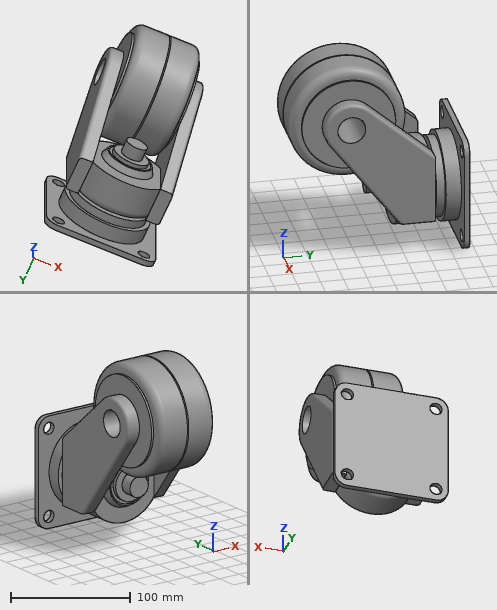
import cadquery as cq
import math


overall_height = 170.0

plate_size = 100.0
plate_thickness = 5.0
hole_spacing = 78.2
hole_diameter = 10.5
corner_radius = (plate_size - hole_spacing) / 2

large_ring_radius = 39.0
large_ring_depth = 18.0
small_ring_radius = 34.8
small_ring_depth = 25.3
neck_radius = 26.0

wheel_radius = plate_size / 2
axle_depth = 100.0
axle_height = overall_height - plate_size / 2 - wheel_radius
tread_width = 57.8
tread_rounding = 7.1
groove_width = 1.4
groove_radius = 41.8
hub_radius = 40.3
hub_width = 61.9
axle_bore_radius = 11.9

fork_back_depth = 27.4
fork_base_depth = 58.5
fork_base_radius = 37.5
fork_base_rounding = 5.8
fork_width = 85.7
cheek_thickness = (fork_width - hub_width) / 2
cheek_bottom = -22.0
cheek_eye_radius = 23.0
cheek_corner_radius = 5.8
cheek_edge_rounding = 2.9

seat_base_radius = 23.5
seat_top_radius = 20.2
seat_end_depth = 65.6
seat_start_depth = 59.5
seat_recess_radius = 18.9
seat_recess = 0.5
nut_radius = 16.2
nut_depth = 68.7
pin_radius = 9.5
pin_depth = 80.0


def swivel_disc(radius, start_depth, end_depth):
    """Cylinder on the swivel axis between two depths."""
    return (
        cq.Workplane("XZ", origin=(0, -start_depth, 0))
        .circle(radius)
        .extrude(end_depth - start_depth)
    )


def axle_disc(radius, width):
    """Cylinder on the axle, centred across the wheel."""
    return (
        cq.Workplane("YZ", origin=(0, -axle_depth, axle_height))
        .circle(radius)
        .extrude(width / 2, both=True)
    )


def make_plate():
    return (
        cq.Workplane("XZ")
        .rect(plate_size, plate_size)
        .extrude(plate_thickness)
        .edges("|Y")
        .fillet(corner_radius)
        .faces("<Y")
        .workplane(centerOption="CenterOfBoundBox")
        .rect(hole_spacing, hole_spacing, forConstruction=True)
        .vertices()
        .hole(hole_diameter)
    )


def make_swivel():
    large_ring = swivel_disc(large_ring_radius, plate_thickness, large_ring_depth)
    small_ring = swivel_disc(small_ring_radius, large_ring_depth, small_ring_depth)
    neck = swivel_disc(neck_radius, small_ring_depth, fork_back_depth)
    return large_ring.union(small_ring).union(neck)


def make_fork_base():
    disc = swivel_disc(fork_base_radius, fork_back_depth, fork_base_depth)
    disc = disc.faces(">Y").edges().fillet(fork_base_rounding)
    between_cheeks = cq.Workplane("XY").box(hub_width, 2 * fork_base_depth, 2 * fork_base_radius)
    return disc.intersect(between_cheeks)


def eye_tangent_angle(depth, height, side):
    """Angle on the axle eye where a line from (depth, height) touches it; side is +1 or -1."""
    depth_offset = depth - axle_depth
    height_offset = height - axle_height
    distance = math.hypot(depth_offset, height_offset)
    return math.atan2(height_offset, depth_offset) + side * math.acos(cheek_eye_radius / distance)


def eye_point(angle):
    """Point on the rim of the axle eye as (depth, height)."""
    return (
        axle_depth + cheek_eye_radius * math.cos(angle),
        axle_height + cheek_eye_radius * math.sin(angle),
    )


def make_right_cheek():
    upper_angle = eye_tangent_angle(fork_back_depth, fork_base_radius, -1)
    lower_angle = eye_tangent_angle(fork_base_depth, cheek_bottom, 1)
    upper_angle %= 2 * math.pi
    lower_angle = math.remainder(lower_angle, 2 * math.pi)
    outline = [
        (fork_back_depth, cheek_bottom),
        (fork_base_depth, cheek_bottom),
        eye_point(lower_angle),
        eye_point((lower_angle + upper_angle) / 2),
        eye_point(upper_angle),
        (fork_back_depth, fork_base_radius),
    ]
    bottom_back, bottom_front, lower_touch, eye_middle, upper_touch, top_back = [
        (-depth, height) for depth, height in outline
    ]
    cheek = (
        cq.Workplane("YZ", origin=(hub_width / 2, 0, 0))
        .moveTo(*bottom_back)
        .lineTo(*bottom_front)
        .lineTo(*lower_touch)
        .threePointArc(eye_middle, upper_touch)
        .lineTo(*top_back)
        .close()
        .extrude(cheek_thickness)
    )
    cheek = cheek.edges("|X and >Y").edges(">Z").fillet(cheek_corner_radius)
    return cheek.faces(">X").edges("not <Z").fillet(cheek_edge_rounding)


def make_kingpin():
    seat = (
        cq.Workplane("XZ", origin=(0, -seat_start_depth, 0))
        .circle(seat_base_radius)
        .workplane(offset=seat_end_depth - seat_start_depth)
        .circle(seat_top_radius)
        .loft(ruled=True)
    )
    seat = seat.cut(swivel_disc(seat_recess_radius, seat_end_depth - seat_recess, seat_end_depth))
    nut = swivel_disc(nut_radius, fork_base_depth, nut_depth)
    pin = swivel_disc(pin_radius, nut_depth, pin_depth)
    return seat.union(nut).union(pin)


def make_wheel():
    tread = axle_disc(wheel_radius, tread_width).edges().fillet(tread_rounding)
    groove = axle_disc(wheel_radius, groove_width).cut(axle_disc(groove_radius, groove_width))
    return tread.cut(groove).union(axle_disc(hub_radius, hub_width))


right_cheek = make_right_cheek()
left_cheek = right_cheek.mirror("YZ")

result = (
    make_plate()
    .union(make_swivel())
    .union(make_fork_base())
    .union(right_cheek)
    .union(left_cheek)
    .union(make_kingpin())
    .union(make_wheel())
    .cut(axle_disc(axle_bore_radius, fork_width))
)